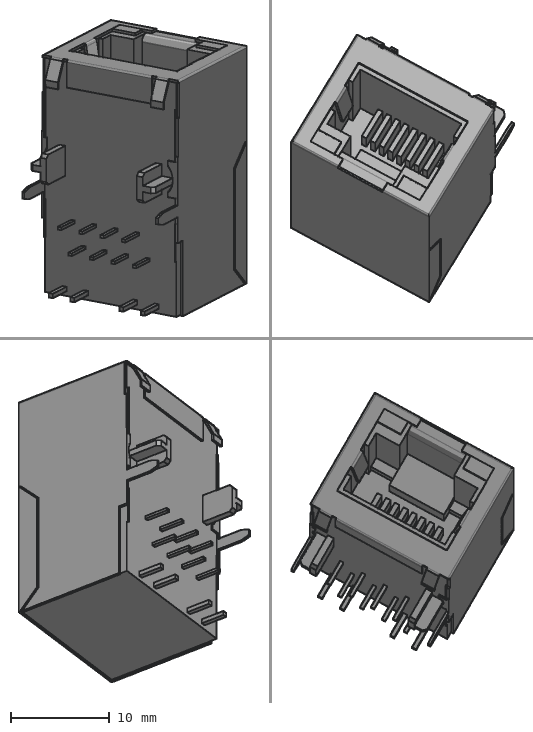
import cadquery as cq

WIDTH = 16.15
HEIGHT = 25.4
BACK_Y = 13.3
SHEET = 0.28
THIN_SHEET = 0.2
BEND_RADIUS = THIN_SHEET
HALF_WIDTH = WIDTH / 2
INNER_HALF = HALF_WIDTH - SHEET
HOUSING_TOP = HEIGHT - SHEET
HOUSING_BOTTOM = 0.1
SIDES = (-1, 1)

OPENING_HALF = 6.38
OPENING_FRONT_Y = 2.46
OPENING_BACK_Y = 12.27
CAVITY_HALF = 5.9
CAVITY_FRONT_Y = 2.95
CAVITY_BACK_Y = 8.64
CAVITY_DEPTH = 11.43
SHELF_BACK_Y = 9.7
SHELF_DEPTH = 10.15
LATCH_HALF = 3.18
LATCH_FRONT_Y = 7.6
LATCH_BACK_Y = 11.35
LATCH_DEPTH = 8.9
LATCH_LEAD_IN = 0.75
TOP_NOTCH_HALF = 2.6
LED_INNER_X = 3.63
LED_FRONT_Y = 10.77

CONTACT_COUNT = 8
CONTACT_PITCH = 1.02
CONTACT_WIDTH = 0.53
CONTACT_TIP_Y = 6.27
CONTACT_HEIGHT = 2.55

WINDOW_FRONT_Y = 4.52
WINDOW_BACK_Y = 8.13
SPRING_FRONT_Y = 5.3
SPRING_BACK_Y = 7.35
SPRING_TIP_X = 5.4
SPRING_TIP_Z = 20.73

FRONT_EDGE_Y = -0.08
TAB_FACE_Y = FRONT_EDGE_Y - THIN_SHEET
UPPER_EDGE_Y = 0.13
MIDDLE_EDGE_Y = -0.08
LOWER_EDGE_Y = -0.18
CUTBACK_EDGE_Y = 0.81
UPPER_STEP_Z = 21.39
MIDDLE_STEP_Z = 17.27
CUTBACK_Z = 8.05

TAB_HALF = 5.03
CLIP_INNER_X = 5.5
CLIP_OUTER_X = 6.98
CLIP_OUTER_Y = -1.25
CLIP_BEND_Z = 23.22
TAB_END_Z = 22.45
FLANGE_BOTTOM_Z = 12.78
FLANGE_TOP_Z = 16.65
LEFT_FLANGE = dict(side=-1, edge_x=7.5, relief_x=7.75, relief_half=0.85)
RIGHT_FLANGE = dict(side=1, edge_x=6.88, relief_x=7.47, relief_half=1.4)
LEG_Z = 11.48
LEG_WIDTH = 1.27
LEG_TIP_WIDTH = 0.65
LEG_TIP_Y = -4.0
LEG_TAPER_Y = -2.97
LEG_ARC_Y = -3.65
LEG_ARC_HALF = 0.45

SEAM_MIDDLE_Z = 7.52
SEAM_STRAIGHT = 10.77
SEAM_END_Z = 0.15
SEAM_REACH = 2.25
SEAM_WIDTH = 0.18
SEAM_DEPTH = 0.08

PEG_Z = 14.53
PEG_TIP_Y = -3.7
PEG_PLATE_INNER_X = 5.35
PEG_PLATE_OUTER_X = 6.07
PEG_PLATE_HEIGHT = 3.2
PEG_RIB_OUTER_X = 7.37
PEG_RIB_HEIGHT = 0.65
PEG_CHAMFER = 0.35
PIN_TIP_Y = -2.7
PIN_ROOT_Y = 0.5
SIGNAL_PITCH = 2.55
SIGNAL_PER_ROW = 4
SIGNAL_ROWS = ((-4.45, 8.2), (-3.18, 5.66))
SIGNAL_PIN_WIDTH = 0.4
SIGNAL_PIN_HEIGHT = 0.3
LED_PIN_X = (-5.45, -2.92, 2.92, 5.45)
LED_PIN_Z = 0.86
LED_PIN_SIZE = 0.48
RIDGE_WIDTH = 0.1
RIDGE_SPANS = ((FLANGE_TOP_Z, 22.22), (6.02, 10.03))


def block(x_range, y_range, z_range):
    """Box between two limits on each axis, given in either order."""
    (x0, x1), (y0, y1), (z0, z1) = sorted(x_range), sorted(y_range), sorted(z_range)
    return cq.Workplane("XY").box(x1 - x0, y1 - y0, z1 - z0, centered=False).translate((x0, y0, z0))


def extrude_along_x(profile, x_range):
    """Extrude a closed YZ profile between two X limits."""
    x0, x1 = sorted(x_range)
    return profile.extrude(x1 - x0).translate((x0, 0, 0))


def shield_shell():
    profile = cq.Workplane("YZ").polyline([
        (BACK_Y, 0), (BACK_Y, HEIGHT), (FRONT_EDGE_Y, HEIGHT), (FRONT_EDGE_Y, HOUSING_TOP),
        (UPPER_EDGE_Y, HOUSING_TOP), (UPPER_EDGE_Y, UPPER_STEP_Z),
        (MIDDLE_EDGE_Y, UPPER_STEP_Z), (MIDDLE_EDGE_Y, MIDDLE_STEP_Z),
        (LOWER_EDGE_Y, MIDDLE_STEP_Z), (LOWER_EDGE_Y, CUTBACK_Z),
        (CUTBACK_EDGE_Y, CUTBACK_Z), (CUTBACK_EDGE_Y, 0),
    ]).close()
    shell = extrude_along_x(profile, (-HALF_WIDTH, HALF_WIDTH))
    shell = shell.faces(">Z").edges("<X or >X or >Y").fillet(BEND_RADIUS)
    inside = block((-INNER_HALF, INNER_HALF), (LOWER_EDGE_Y, BACK_Y - THIN_SHEET), (0, HOUSING_TOP))
    opening = block((-OPENING_HALF, OPENING_HALF), (OPENING_FRONT_Y, OPENING_BACK_Y), (HOUSING_TOP, HEIGHT))
    notch = block((-TOP_NOTCH_HALF, TOP_NOTCH_HALF), (OPENING_BACK_Y, BACK_Y), (HOUSING_TOP, HEIGHT))
    return shell.cut(inside).cut(opening).cut(notch)


def front_tab():
    profile = (
        cq.Workplane("YZ").moveTo(FRONT_EDGE_Y, HEIGHT)
        .radiusArc((TAB_FACE_Y, HEIGHT - BEND_RADIUS), -BEND_RADIUS)
        .lineTo(TAB_FACE_Y, TAB_END_Z).lineTo(FRONT_EDGE_Y, TAB_END_Z).close()
    )
    return extrude_along_x(profile, (-TAB_HALF, TAB_HALF))


def grounding_clip(side):
    """Strip that leans out from the top sheet and ends in a short upright lip."""
    profile = (
        cq.Workplane("YZ").moveTo(FRONT_EDGE_Y, HEIGHT)
        .radiusArc((TAB_FACE_Y, HEIGHT - BEND_RADIUS), -BEND_RADIUS)
        .lineTo(CLIP_OUTER_Y, CLIP_BEND_Z).lineTo(CLIP_OUTER_Y, TAB_END_Z)
        .lineTo(CLIP_OUTER_Y + THIN_SHEET, TAB_END_Z).lineTo(CLIP_OUTER_Y + THIN_SHEET, CLIP_BEND_Z)
        .lineTo(FRONT_EDGE_Y, HOUSING_TOP).close()
    )
    return extrude_along_x(profile, (side * CLIP_INNER_X, side * CLIP_OUTER_X))


def spring_finger(side):
    """Finger bent down from the opening edge and leaning in toward the plug."""
    profile = (
        cq.Workplane("XZ", origin=(0, SPRING_BACK_Y, 0))
        .moveTo(side * OPENING_HALF, HEIGHT)
        .radiusArc((side * (OPENING_HALF - SHEET), HOUSING_TOP), -side * SHEET)
        .lineTo(side * SPRING_TIP_X, SPRING_TIP_Z)
        .lineTo(side * (SPRING_TIP_X + SHEET), SPRING_TIP_Z)
        .lineTo(side * OPENING_HALF, HOUSING_TOP).close()
    )
    return profile.extrude(SPRING_BACK_Y - SPRING_FRONT_Y)


def side_flange(side, edge_x, relief_x, relief_half):
    """Flange folded onto the board face, with a round relief beside the peg."""
    middle_z = (FLANGE_BOTTOM_Z + FLANGE_TOP_Z) / 2
    wall_x = side * HALF_WIDTH
    inner_x = side * edge_x
    return (
        cq.Workplane("XZ").moveTo(wall_x, FLANGE_BOTTOM_Z).lineTo(inner_x, FLANGE_BOTTOM_Z)
        .lineTo(inner_x, middle_z - relief_half)
        .threePointArc((side * relief_x, middle_z), (inner_x, middle_z + relief_half))
        .lineTo(inner_x, FLANGE_TOP_Z).lineTo(wall_x, FLANGE_TOP_Z).close()
        .extrude(-LOWER_EDGE_Y)
    )


def board_leg(side):
    """Solder leg in the plane of the side wall, tapering to a blunt tip."""
    half, tip_half = LEG_WIDTH / 2, LEG_TIP_WIDTH / 2
    profile = (
        cq.Workplane("YZ").moveTo(0, LEG_Z + half).lineTo(LEG_TAPER_Y, LEG_Z + half)
        .threePointArc((LEG_ARC_Y, LEG_Z + LEG_ARC_HALF), (LEG_TIP_Y, LEG_Z + tip_half))
        .lineTo(LEG_TIP_Y, LEG_Z - tip_half)
        .threePointArc((LEG_ARC_Y, LEG_Z - LEG_ARC_HALF), (LEG_TAPER_Y, LEG_Z - half))
        .lineTo(0, LEG_Z - half).close()
    )
    return extrude_along_x(profile, (side * INNER_HALF, side * HALF_WIDTH))


def flap_outline(reach):
    """Trapezoid on the side wall with 45 degree ends that meet the back face."""
    half = SEAM_STRAIGHT / 2
    inner_y = BACK_Y - reach
    return cq.Workplane("YZ").polyline([
        (BACK_Y, SEAM_MIDDLE_Z - half - reach), (inner_y, SEAM_MIDDLE_Z - half),
        (inner_y, SEAM_MIDDLE_Z + half), (BACK_Y, SEAM_MIDDLE_Z + half + reach),
    ]).close()


def seam_groove(side):
    x_range = (side * (HALF_WIDTH - SEAM_DEPTH), side * HALF_WIDTH)
    groove = extrude_along_x(flap_outline(SEAM_REACH + SEAM_WIDTH), x_range)
    groove = groove.cut(extrude_along_x(flap_outline(SEAM_REACH), x_range))
    flat_wall = block(x_range, (0, BACK_Y - BEND_RADIUS), (SEAM_END_Z, HEIGHT))
    return groove.intersect(flat_wall)


def make_shield():
    shield = shield_shell().union(front_tab())
    for side in SIDES:
        shield = shield.union(grounding_clip(side)).union(spring_finger(side)).union(board_leg(side))
        shield = shield.cut(seam_groove(side))
    for flange in (LEFT_FLANGE, RIGHT_FLANGE):
        shield = shield.union(side_flange(**flange))
    return shield


def pocket(half_width, y_range, depth):
    return block((-half_width, half_width), y_range, (HOUSING_TOP - depth, HOUSING_TOP))


def latch_lead_in():
    """Material removed to round the back edge of the latch slot mouth."""
    profile = (
        cq.Workplane("YZ").moveTo(LATCH_BACK_Y, HOUSING_TOP)
        .lineTo(LATCH_BACK_Y + LATCH_LEAD_IN, HOUSING_TOP)
        .radiusArc((LATCH_BACK_Y, HOUSING_TOP - LATCH_LEAD_IN), -LATCH_LEAD_IN).close()
    )
    return extrude_along_x(profile, (-LATCH_HALF, LATCH_HALF))


def plug_cavity():
    cavity = pocket(CAVITY_HALF, (CAVITY_FRONT_Y, CAVITY_BACK_Y), CAVITY_DEPTH)
    latch_stop = block((-LATCH_HALF, LATCH_HALF), (LATCH_FRONT_Y, LATCH_BACK_Y),
                       (HOUSING_TOP - CAVITY_DEPTH, HOUSING_TOP - LATCH_DEPTH))
    shelf = pocket(CAVITY_HALF, (CAVITY_BACK_Y, SHELF_BACK_Y), SHELF_DEPTH)
    latch = pocket(LATCH_HALF, (LATCH_FRONT_Y, LATCH_BACK_Y), LATCH_DEPTH)
    windows = pocket(OPENING_HALF, (WINDOW_FRONT_Y, WINDOW_BACK_Y), CAVITY_DEPTH)
    plug_space = cavity.union(shelf).union(windows).cut(latch_stop)
    return plug_space.union(latch).union(latch_lead_in())


def contacts():
    floor_z = HOUSING_TOP - CAVITY_DEPTH
    bars = cq.Workplane("XY")
    for index in range(CONTACT_COUNT):
        x = (index - (CONTACT_COUNT - 1) / 2) * CONTACT_PITCH
        bars = bars.union(block((x - CONTACT_WIDTH / 2, x + CONTACT_WIDTH / 2),
                                (CAVITY_FRONT_Y, CONTACT_TIP_Y), (floor_z, floor_z + CONTACT_HEIGHT)))
    return bars


def led_window(side):
    """Raised block that fills one back corner of the shield opening."""
    x_range = (side * LED_INNER_X, side * OPENING_HALF)
    return block(x_range, (LED_FRONT_Y, OPENING_BACK_Y), (HOUSING_TOP, HEIGHT))


def board_peg(side):
    """T-shaped locating peg with chamfered ends."""
    half_plate, half_rib = PEG_PLATE_HEIGHT / 2, PEG_RIB_HEIGHT / 2
    plate = block((side * PEG_PLATE_INNER_X, side * PEG_PLATE_OUTER_X), (PEG_TIP_Y, 0),
                  (PEG_Z - half_plate, PEG_Z + half_plate))
    plate = plate.faces("<Y").edges("|X").chamfer(PEG_CHAMFER)
    rib = block((side * PEG_PLATE_OUTER_X, side * PEG_RIB_OUTER_X), (PEG_TIP_Y, 0),
                (PEG_Z - half_rib, PEG_Z + half_rib))
    outer_edge = "<X" if side < 0 else ">X"
    rib = rib.faces("<Y").edges(outer_edge).chamfer(PEG_CHAMFER)
    return plate.union(rib)


def board_pin(x, z, width, height):
    return block((x - width / 2, x + width / 2), (PIN_TIP_Y, PIN_ROOT_Y), (z - height / 2, z + height / 2))


def make_housing():
    housing = block((-INNER_HALF, INNER_HALF), (0, BACK_Y - THIN_SHEET), (HOUSING_BOTTOM, HOUSING_TOP))
    housing = housing.cut(plug_cavity()).union(contacts())
    for side in SIDES:
        housing = housing.union(led_window(side)).union(board_peg(side))
        for z_range in RIDGE_SPANS:
            ridge_x = (side * (INNER_HALF - RIDGE_WIDTH), side * INNER_HALF)
            housing = housing.union(block(ridge_x, (LOWER_EDGE_Y, 0), z_range))
    for first_x, z in SIGNAL_ROWS:
        for index in range(SIGNAL_PER_ROW):
            x = first_x + index * SIGNAL_PITCH
            housing = housing.union(board_pin(x, z, SIGNAL_PIN_WIDTH, SIGNAL_PIN_HEIGHT))
    for x in LED_PIN_X:
        housing = housing.union(board_pin(x, LED_PIN_Z, LED_PIN_SIZE, LED_PIN_SIZE))
    return housing


shield = make_shield()
housing = make_housing()
result = cq.Compound.makeCompound([*shield.solids().vals(), *housing.solids().vals()])